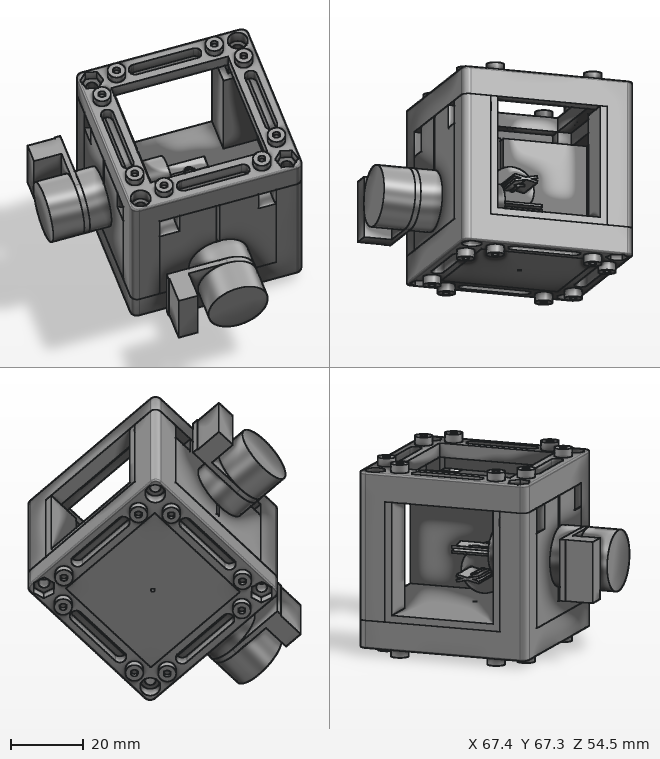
import cadquery as cq
import math

overall_x, overall_y, overall_height = 67.4, 67.3, 54.5
cube_side = 49.8
half_side = cube_side / 2
window_side = 33.95
half_window = window_side / 2
plate_thickness = 4.0
rim_thickness = 4.0
corner_radius = 2.0
edge_fillet = 0.5

screw_head_diameter = 4.9
screw_head_height = (overall_height - cube_side) / 2
screw_socket_diameter = 2.0
screw_socket_depth = 1.35
screw_near, screw_far = 14.2, 20.6
corner_hole_diameter = 3.1
corner_hole_offset = 21.2
counterbore_diameter = 5.5
counterbore_depth = 4.0
nut_across_flats = 5.5
nut_pocket_depth = 3.2
nut_pocket_turn = 15
edge_slot_length = 20.95
edge_slot_width = 3.5
edge_slot_offset = 20.9
edge_slot_depth = 3.7

inner_wall = 2.0
inner_face = half_window - inner_wall
slit_width = 1.0
y_slit_bottom = -12.9
x_slit_bottom = -14.55
beam_hole_diameter = 1.0
scoop_z = 13.9
left_scoop_radius, left_scoop_start = 5.05, 11.05
right_scoop_radius, right_scoop_start = 4.8, 11.85
scoop_reach = 16.8

x_motor_z = -7.5
y_motor_end = overall_y - half_side
x_motor_end = overall_x - half_side
motor_diameter = 17.25
motor_start = 25.5
neck_diameter = 10.1
nose_diameter = 12.95
nose_end = 6.4
arm_plate_diameter = 17.3
arm_plate_start, arm_plate_end = 31.75, 33.35
arm_length = 17.2
tab_end = 41.4
tab_width = 5.6
tab_inset = 0.3
shaft_diameter = 1.5

mirror_length = 11.05
mirror_width = 6.75
blade_thickness = 0.7
blade_angle = 12.5
mirror_hub_end = 1.6
y_mirror_hole_diameter = 2.9
x_mirror_hole_diameter = 1.5


def box(x_range, y_range, z_range):
    """Box given by its limits along each axis."""
    limits = (x_range, y_range, z_range)
    size = [high - low for low, high in limits]
    corner = tuple(low for low, high in limits)
    return cq.Workplane().box(*size, centered=False).translate(corner)


def upright_cylinder(diameter, bottom, top, x=0, y=0):
    """Cylinder along Z between two heights."""
    return cq.Workplane().circle(diameter / 2).extrude(top - bottom).translate((x, y, bottom))


def drum(diameter, start, end):
    """Cylinder on the Y axis, between two distances from the origin towards -Y."""
    return cq.Workplane("XZ", origin=(0, -start, 0)).circle(diameter / 2).extrude(end - start)


def quarter_turn(shape):
    """Turn about Z that carries the -Y side onto the +X side."""
    return shape.rotate((0, 0, 0), (0, 0, 1), 90)


def make_frame_half():
    """Upper plate with the columns at (+X, -Y) and (-X, +Y)."""
    full = (-half_side, half_side)
    window = (-half_window, half_window)
    low, high = (-half_side, -half_window), (half_window, half_side)
    envelope = box(full, full, full).edges("|Z").fillet(corner_radius)
    envelope = envelope.faces("<Z or >Z").edges().fillet(edge_fillet)
    half = box(full, full, high)
    for x_range, y_range in ((low, high), (high, low)):
        half = half.union(box(x_range, y_range, window))
    half = half.intersect(envelope)
    half = half.cut(box(window, window, high))

    recess = (-half_side + rim_thickness, half_side - rim_thickness)
    under_plate = (half_window, half_side - plate_thickness)
    half = half.cut(box(recess, window, under_plate)).cut(box(window, recess, under_plate))

    slots = (
        cq.Workplane()
        .workplane(offset=half_side)
        .pushPoints([(0, edge_slot_offset), (0, -edge_slot_offset)])
        .slot2D(edge_slot_length, edge_slot_width)
        .extrude(-edge_slot_depth)
    )
    half = half.cut(slots).cut(quarter_turn(slots))

    hexagon_diameter = nut_across_flats / math.cos(math.radians(30))
    for x_sign in (-1, 1):
        for y_sign in (-1, 1):
            x, y = x_sign * corner_hole_offset, y_sign * corner_hole_offset
            half = half.cut(upright_cylinder(corner_hole_diameter, -half_side, half_side, x, y))
            if x_sign == y_sign:
                pocket = cq.Workplane().polygon(6, hexagon_diameter).extrude(-nut_pocket_depth)
                pocket = pocket.rotate((0, 0, 0), (0, 0, 1), nut_pocket_turn)
                pocket = pocket.translate((x, y, half_side))
            else:
                counterbore_floor = half_side - counterbore_depth
                pocket = upright_cylinder(counterbore_diameter, counterbore_floor, half_side, x, y)
            half = half.cut(pocket)

    head_top = half_side + screw_head_height
    socket_floor = head_top - screw_socket_depth
    for x_sign in (-1, 1):
        for y_sign in (-1, 1):
            for x, y in ((screw_near, screw_far), (screw_far, screw_near)):
                place = (x_sign * x, y_sign * y)
                head = upright_cylinder(screw_head_diameter, half_side, head_top, *place)
                socket = upright_cylinder(screw_socket_diameter, socket_floor, head_top, *place)
                half = half.union(head.cut(socket))
    return half


def make_scoop(sign, radius, start):
    """Round clearance along X in an upper corner of the -Y wall."""
    scoop = cq.Workplane("YZ").center(-scoop_reach - radius, scoop_z).circle(radius)
    return scoop.extrude(sign * (half_side - start)).translate((sign * start, 0, 0))


def make_insert():
    """Walls at -Y and +X, a floor and a post, filling the windows flush with the frame."""
    full = (-half_side, half_side)
    window = (-half_window, half_window)
    insert = box(full, window, window).union(box(window, full, window))
    insert = insert.union(box(window, window, (-half_side, half_window)))

    inside = (-inner_face, inner_face)
    above_floor = (-inner_face, half_window)
    insert = insert.cut(box((-half_side, inner_face), inside, above_floor))
    insert = insert.cut(box(inside, (-inner_face, half_side), above_floor))

    slit = (-slit_width / 2, slit_width / 2)
    insert = insert.cut(box(slit, (-half_side, -inner_face), (y_slit_bottom, half_window)))
    insert = insert.cut(box((inner_face, half_side), slit, (x_slit_bottom, half_window)))

    for scoop in (
        make_scoop(-1, left_scoop_radius, left_scoop_start),
        make_scoop(1, right_scoop_radius, right_scoop_start),
    ):
        insert = insert.cut(scoop).cut(quarter_turn(scoop))

    insert = insert.cut(upright_cylinder(beam_hole_diameter, -half_side, 0))
    neck_bore = drum(neck_diameter, 0, half_side)
    insert = insert.cut(neck_bore)
    return insert.cut(quarter_turn(neck_bore).translate((0, 0, x_motor_z)))


def make_motor(motor_end):
    """Motor on the -Y side with its axis on Y and its connector arm towards -X."""
    motor = drum(motor_diameter, motor_start, motor_end)
    motor = motor.union(drum(neck_diameter, inner_face, motor_start))
    motor = motor.union(drum(nose_diameter, nose_end, inner_face))
    motor = motor.union(drum(shaft_diameter, mirror_length / 2, nose_end))

    arm_z = (-arm_plate_diameter / 2, arm_plate_diameter / 2)
    motor = motor.union(drum(arm_plate_diameter, arm_plate_start, arm_plate_end))
    motor = motor.union(box((-arm_length, 0), (-arm_plate_end, -arm_plate_start), arm_z))
    tab_outside = -arm_length + tab_inset
    tab = box((tab_outside, tab_outside + tab_width), (-tab_end, -arm_plate_end), arm_z)
    return motor.union(tab)


def make_mirror(hole_diameter):
    """Crossed blades along Y on the origin, with a hub towards the motor and a beam hole."""
    mirror = drum(shaft_diameter, -mirror_hub_end, mirror_length / 2)
    for angle in (-blade_angle, blade_angle):
        blade = cq.Workplane().box(mirror_width, mirror_length, blade_thickness)
        mirror = mirror.union(blade.rotate((0, 0, 0), (0, 1, 0), angle))
    return mirror.cut(upright_cylinder(hole_diameter, -mirror_width / 2, mirror_width / 2))


upper_half = make_frame_half()
lower_half = upper_half.rotate((0, 0, 0), (1, 0, 0), 180)
insert = make_insert()
motor_y = make_motor(y_motor_end)
mirror_y = make_mirror(y_mirror_hole_diameter)
motor_x = quarter_turn(make_motor(x_motor_end)).translate((0, 0, x_motor_z))
mirror_x = quarter_turn(make_mirror(x_mirror_hole_diameter)).translate((0, 0, x_motor_z))

bodies = (upper_half, lower_half, insert, motor_y, mirror_y, motor_x, mirror_x)
result = cq.Compound.makeCompound([body.val() for body in bodies])